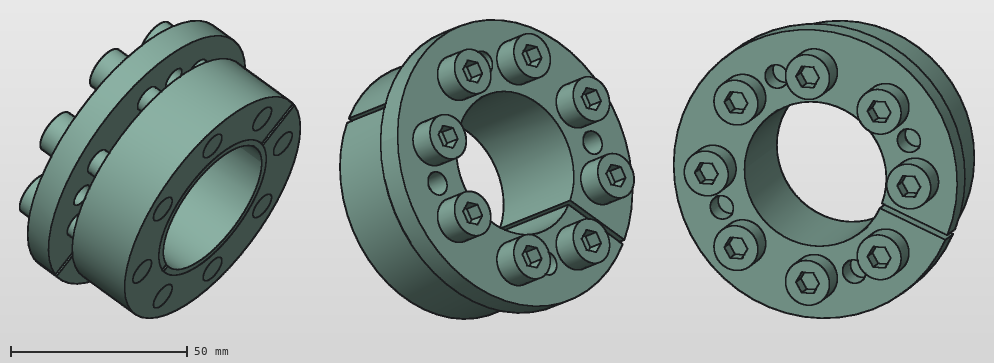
import cadquery as cq
import math


flange_thickness = 8.0
gap_length = 5.0
ring_length = 20.0
ring_front = flange_thickness + gap_length
back_face = ring_front + ring_length

bore_diameter = 42.0
flange_diameter = 83.9
taper_root_radius = 25.1
taper_angle = 5.0
bush_slit_angle = 202.5

ring_diameter = 75.0
ring_slit_angle = 22.5

slit_width = 1.5

screw_count = 8
screw_circle_radius = 30.0
shank_diameter = 8.0
head_diameter = 13.0
head_height = 8.0
hex_across_flats = 6.0
hex_depth = 5.0

jack_hole_count = 4
jack_hole_diameter = 6.8
jack_hole_start_angle = 67.5


def circle_points(count, start_angle):
    """Points (Y, Z) equally spaced round the screw circle."""
    angles = [math.radians(start_angle + i * 360 / count) for i in range(count)]
    return [(screw_circle_radius * math.cos(a), screw_circle_radius * math.sin(a)) for a in angles]


def cylinders(points, diameter, start, end):
    """Cylinders along X at the given (Y, Z) points."""
    plane = cq.Workplane("YZ", origin=(start, 0, 0))
    return plane.pushPoints(points).circle(diameter / 2).extrude(end - start)


def taper_radius(x):
    return taper_root_radius - (x - flange_thickness) * math.tan(math.radians(taper_angle))


def taper_cone(start, end):
    """Solid cone that fills the taper between two X positions."""
    outline = [(start, 0), (start, taper_radius(start)), (end, taper_radius(end)), (end, 0)]
    return cq.Workplane("XY").polyline(outline).close().revolve(360, (0, 0, 0), (1, 0, 0))


def slit(angle):
    """Radial slit cutter from the axis outwards over the whole length."""
    cutter = cq.Workplane("XY").box(back_face, flange_diameter, slit_width, centered=(False, False, True))
    return cutter.rotate((0, 0, 0), (1, 0, 0), angle)


screw_points = circle_points(screw_count, 0)
screw_holes = cylinders(screw_points, shank_diameter, 0, back_face)


def make_bush():
    centre = [(0, 0)]
    flange = cylinders(centre, flange_diameter, 0, flange_thickness)
    bore = cylinders(centre, bore_diameter, 0, back_face)
    jack_points = circle_points(jack_hole_count, jack_hole_start_angle)
    jack_holes = cylinders(jack_points, jack_hole_diameter, 0, flange_thickness)
    body = flange.union(taper_cone(flange_thickness, back_face))
    return body.cut(bore).cut(screw_holes).cut(jack_holes).cut(slit(bush_slit_angle))


def make_clamping_ring():
    body = cylinders([(0, 0)], ring_diameter, ring_front, back_face)
    body = body.cut(taper_cone(ring_front, back_face))
    return body.cut(screw_holes).cut(slit(ring_slit_angle))


def make_screw(point):
    """Socket head screw seated on the flange, its tip flush with the back of the ring."""
    head = cylinders([point], head_diameter, -head_height, 0)
    shank = cylinders([point], shank_diameter, 0, back_face)
    hex_across_corners = hex_across_flats / math.cos(math.radians(30))
    socket_plane = cq.Workplane("YZ", origin=(-head_height, 0, 0))
    socket = socket_plane.center(*point).polygon(6, hex_across_corners).extrude(hex_depth)
    return head.union(shank).cut(socket)


bush = make_bush().solids().val()
clamping_ring = make_clamping_ring().solids().val()
screws = [make_screw(point).solids().val() for point in screw_points]

result = cq.Compound.makeCompound([bush, clamping_ring, *screws])